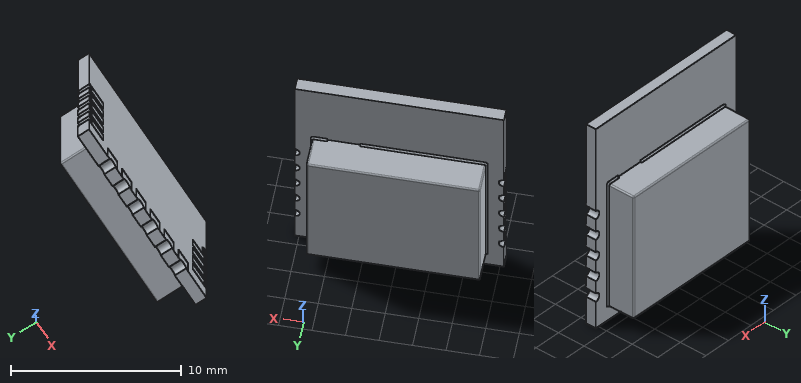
import cadquery as cq


board_width = 12.5
board_height = 14.5
board_back = 0.8

pad_thickness = 0.01
pad_width = 1.0
pad_length = 1.5
hole_radius = 0.3
ring_radius = 0.5
bottom_pad_count = 6
side_pad_count = 5
bottom_row_span = 7.5
pad_pitch = bottom_row_span / (bottom_pad_count - 1)
lowest_side_pad = 2.25

total_depth = 2.8
shield_width = 10.35
shield_height = 8.9
shield_bottom = 1.05
shield_top = shield_bottom + shield_height
shield_radius = 0.094

bead_size = 0.12
gap_start = 2.32
gap_end = 4.29

half_board = board_width / 2
half_shield = shield_width / 2
bottom_pad_xs = [-bottom_row_span / 2 + i * pad_pitch for i in range(bottom_pad_count)]
side_pad_zs = [lowest_side_pad + i * pad_pitch for i in range(side_pad_count)]
ring_z = side_pad_zs[-1]


def block(x_min, x_max, y_min, y_max, z_min, z_max):
    size = (x_max - x_min, y_max - y_min, z_max - z_min)
    return cq.Workplane("XY").box(*size, centered=False).translate((x_min, y_min, z_min))


def make_board():
    return block(-half_board, half_board, pad_thickness, board_back, 0, board_height)


def make_pads():
    half_pad = pad_width / 2
    pads = [block(x - half_pad, x + half_pad, 0, pad_thickness, 0, pad_length) for x in bottom_pad_xs]
    for z in side_pad_zs:
        z_range = (z - half_pad, z + half_pad)
        pads.append(block(-half_board, -half_board + pad_length, 0, pad_thickness, *z_range))
        if z != ring_z:
            pads.append(block(half_board - pad_length, half_board, 0, pad_thickness, *z_range))
    return pads


def make_ring_pad():
    disc = cq.Workplane("XZ").center(half_board, ring_z).circle(ring_radius).extrude(-pad_thickness)
    board_side = block(0, half_board, 0, pad_thickness, 0, board_height)
    return disc.intersect(board_side)


def make_edge_holes():
    centres = [(x, 0) for x in bottom_pad_xs]
    centres += [(side * half_board, z) for side in (-1, 1) for z in side_pad_zs]
    return cq.Workplane("XZ").pushPoints(centres).circle(hole_radius).extrude(-board_back)


def make_shield():
    shield = block(-half_shield, half_shield, board_back, total_depth, shield_bottom, shield_top)
    return shield.edges("|Y or >Y").fillet(shield_radius)


def make_solder_bead():
    """Foot that starts wider than the shield by the bead size and slopes in to it at 45 degrees."""
    middle_z = (shield_bottom + shield_top) / 2
    outline = (
        cq.Sketch()
        .rect(shield_width + 2 * bead_size, shield_height + 2 * bead_size)
        .vertices()
        .fillet(shield_radius + bead_size)
    )
    base = cq.Workplane("XZ", origin=(0, board_back, middle_z)).placeSketch(outline)
    bead = base.extrude(-bead_size, taper=45)
    below_shield = block(-half_board, half_board, board_back, total_depth, 0, shield_bottom)
    gap = block(gap_start, gap_end, board_back, total_depth, shield_top, board_height)
    return bead.cut(below_shield).cut(gap)


part = make_board().union(make_ring_pad())
for pad in make_pads():
    part = part.union(pad)
part = part.cut(make_edge_holes())
result = part.union(make_shield()).union(make_solder_bead())